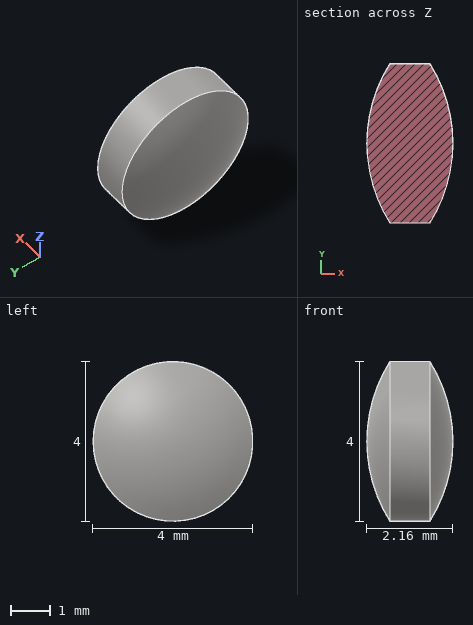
import cadquery as cq

diameter = 4.0
thickness = 2.16
rim_width = 1.0

radius = diameter / 2
half_rim = rim_width / 2
half_thickness = thickness / 2
cap_height = half_thickness - half_rim
sphere_radius = (radius**2 + cap_height**2) / (2 * cap_height)

half_section = (
    cq.Workplane("XY")
    .moveTo(-half_thickness, 0)
    .radiusArc((-half_rim, radius), sphere_radius)
    .lineTo(half_rim, radius)
    .radiusArc((half_thickness, 0), sphere_radius)
    .close()
)
result = half_section.revolve(360, (0, 0, 0), (1, 0, 0))